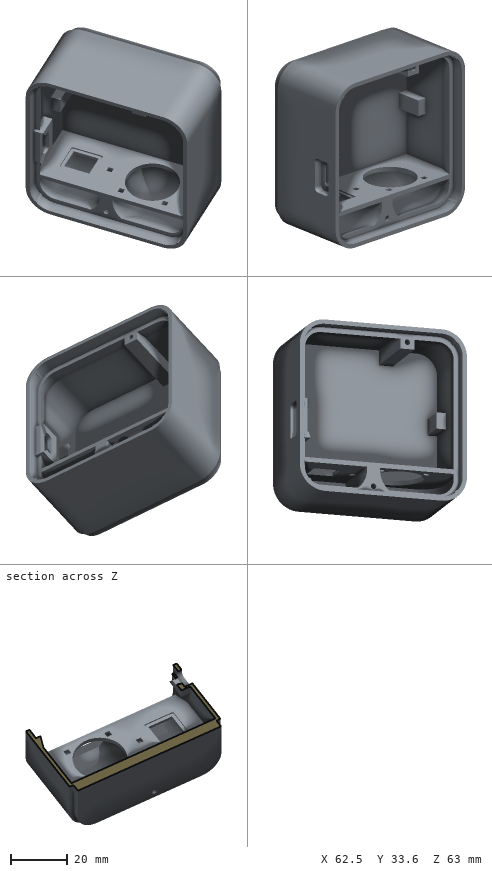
import cadquery as cq
import math

WIDTH = 62.5
DEPTH = 33.65
HEIGHT = 63.0
CORNER_RADIUS = 9.45
WALL = 1.6

LIP_LENGTH = 3.15
LIP_INSET = 1.6
MOUTH_DEPTH = 4.6
LEDGE_WIDTH = 1.9
LEDGE_TAPER_LENGTH = 5.4
BACK_THICKNESS = 4.4

FRONT_Y = -DEPTH / 2
LEDGE_Y = FRONT_Y + MOUTH_DEPTH
BACK_INNER_Y = DEPTH / 2 - BACK_THICKNESS
WALL_X = WIDTH / 2 - WALL
FLOOR_Z = -HEIGHT / 2 + WALL
CEILING_Z = HEIGHT / 2 - WALL

GRIP_RIB_WIDTH = 1.0
GRIP_RIB_HEIGHT = 0.25

SHELF_TOP = -18.35
SHELF_THICKNESS = 1.7
SHELF_BOTTOM = SHELF_TOP - SHELF_THICKNESS

POCKET_RADIUS = 8.8
COLUMN_X = -2.15
COLUMN_WIDTH = 4.9

ROUND_OPENING_DIAMETER = 19.5
ROUND_OPENING_X = 10.5
ROUND_OPENING_Y = 0.0
TIE_HOLE_SIZE = 2.0
TIE_HOLE_SPACING = 16.9
TIE_HOLE_Y = -8.45
SIDE_TIE_HOLE_X = -5.9
WINDOW_X = -16.95
WINDOW_LENGTH = 12.2
WINDOW_WIDTH = 11.1
WINDOW_RADIUS = 0.6
WINDOW_RIM = 1.25
WINDOW_REBATE = 0.5

SCREW_DIAMETER = 2.0
LOWER_SCREW_Z = -27.0

TAB_WIDTH = 5.3
TAB_BOTTOM = 24.45
TAB_SCREW_Z = 26.95

BAR_INNER_X = 26.1
BAR_BOTTOM = 0.1
BAR_HEIGHT = 6.0
BAR_FRONT_Y = 2.2

PORT_Y = -9.6
PORT_Z = -4.2
BOSS_HEIGHT = 14.5
BOSS_FRONT_Y = -13.4
BOSS_DEPTH = 8.5
RECESS_DEPTH = 3.15
RECESS_HEIGHT = 12.85
RECESS_WIDTH = 7.3
RECESS_RADIUS = 1.75
SLOT_Y = -9.45
SLOT_HEIGHT = 8.8
SLOT_WIDTH = 3.3
SLOT_RADIUS = 1.25
PLATE_INNER_X = -27.2
NOTCH_BACK_GAP = 0.25
SLOT_FRONT_Y = SLOT_Y - SLOT_WIDTH / 2
NOTCH_BACK_Y = SLOT_Y + SLOT_WIDTH / 2 - NOTCH_BACK_GAP


def block(x_range, y_range, z_range):
    """Axis-aligned block between pairs of limits."""
    size = [high - low for low, high in (x_range, y_range, z_range)]
    return cq.Workplane("XY").box(*size, centered=False).translate((x_range[0], y_range[0], z_range[0]))


def rounded_prism(inset, y_start, y_end, taper=0):
    """Rounded square along Y, inset from the outer outline."""
    return (
        cq.Workplane("XZ", origin=(0, y_start, 0))
        .sketch()
        .rect(WIDTH - 2 * inset, HEIGHT - 2 * inset)
        .vertices()
        .fillet(CORNER_RADIUS - inset)
        .finalize()
        .extrude(y_start - y_end, taper=taper)
    )


def hole_along_y(x, z):
    length = 2 * DEPTH
    return cq.Workplane("XZ", origin=(x, DEPTH, z)).circle(SCREW_DIAMETER / 2).extrude(length)


def shell():
    body = rounded_prism(0, FRONT_Y, DEPTH / 2 - LIP_LENGTH)
    lip = rounded_prism(LIP_INSET, DEPTH / 2 - LIP_LENGTH, DEPTH / 2)
    return body.union(lip).cut(rounded_prism(WALL, FRONT_Y, BACK_INNER_Y))


def ledge():
    """Ring behind the mouth whose opening widens backwards to the cavity wall."""
    taper_end = LEDGE_Y + LEDGE_TAPER_LENGTH
    angle = math.degrees(math.atan2(LEDGE_WIDTH, LEDGE_TAPER_LENGTH))
    opening = rounded_prism(WALL + LEDGE_WIDTH, LEDGE_Y, taper_end, taper=-angle)
    return rounded_prism(WALL, LEDGE_Y, taper_end).cut(opening)


def grip_ribs():
    arc_radius = CORNER_RADIUS - WALL
    ribs = cq.Workplane("XY")
    for x_side in (-1, 1):
        for z_side in (-1, 1):
            corner = (x_side * (WIDTH / 2 - CORNER_RADIUS), LEDGE_Y, z_side * (HEIGHT / 2 - CORNER_RADIUS))
            rib = block(
                (arc_radius - GRIP_RIB_HEIGHT, arc_radius + WALL / 2),
                (-MOUTH_DEPTH, 0),
                (-GRIP_RIB_WIDTH / 2, GRIP_RIB_WIDTH / 2),
            )
            angle = -math.degrees(math.atan2(z_side, x_side))
            ribs = ribs.union(rib.rotate((0, 0, 0), (0, 1, 0), angle).translate(corner))
    return ribs


def pocket(column_side_x, side):
    """Pocket from a column face to the side wall, rounded at the floor, back and outer corner."""
    outer_x = side * WALL_X
    x_range = sorted((column_side_x, outer_x))
    top = SHELF_BOTTOM + 2 * POCKET_RADIUS
    y_range = (LEDGE_Y, BACK_INNER_Y)
    outer_side, column_side = (">X", "<X") if side > 0 else ("<X", ">X")
    full = block(x_range, y_range, (FLOOR_Z, top))
    rounded_corner = full.edges(f"<Z and {outer_side}").fillet(CORNER_RADIUS - WALL)
    rounded_back = rounded_corner.faces(">Y").edges("%CIRCLE").fillet(POCKET_RADIUS)
    flared = full.edges(f"<Z and {column_side}").fillet(POCKET_RADIUS)
    return rounded_back.intersect(flared)


def lower_fill():
    envelope = rounded_prism(WALL, LEDGE_Y, BACK_INNER_Y)
    slab = block((-WALL_X, WALL_X), (LEDGE_Y, BACK_INNER_Y), (FLOOR_Z, SHELF_TOP))
    below_shelf = block((-WALL_X, WALL_X), (LEDGE_Y, BACK_INNER_Y), (FLOOR_Z, SHELF_BOTTOM))
    fill = slab.intersect(envelope)
    for side in (-1, 1):
        fill = fill.cut(pocket(COLUMN_X + side * COLUMN_WIDTH / 2, side).intersect(below_shelf))
    return fill


def shelf_openings():
    level = cq.Workplane("XY", origin=(0, 0, SHELF_BOTTOM))
    openings = (
        level.center(ROUND_OPENING_X, ROUND_OPENING_Y)
        .circle(ROUND_OPENING_DIAMETER / 2)
        .extrude(SHELF_THICKNESS)
    )
    tie_holes = [
        (SIDE_TIE_HOLE_X, ROUND_OPENING_Y),
        (ROUND_OPENING_X - TIE_HOLE_SPACING / 2, TIE_HOLE_Y),
        (ROUND_OPENING_X + TIE_HOLE_SPACING / 2, TIE_HOLE_Y),
    ]
    openings = openings.union(
        level.pushPoints(tie_holes).rect(TIE_HOLE_SIZE, TIE_HOLE_SIZE).extrude(SHELF_THICKNESS)
    )
    window = level.center(WINDOW_X, ROUND_OPENING_Y)
    through = window.rect(WINDOW_LENGTH - 2 * WINDOW_RIM, WINDOW_WIDTH - 2 * WINDOW_RIM).extrude(SHELF_THICKNESS)
    rebate = (
        window.workplane(offset=SHELF_THICKNESS - WINDOW_REBATE)
        .rect(WINDOW_LENGTH, WINDOW_WIDTH)
        .extrude(WINDOW_REBATE)
        .edges("|Z")
        .fillet(WINDOW_RADIUS)
    )
    return openings.union(through).union(rebate)


def screw_tab():
    half = TAB_WIDTH / 2
    return block(
        (ROUND_OPENING_X - half, ROUND_OPENING_X + half),
        (LEDGE_Y, BACK_INNER_Y),
        (TAB_BOTTOM, CEILING_Z),
    )


def side_bar(side):
    x_range = sorted((side * BAR_INNER_X, side * WALL_X))
    return block(x_range, (BAR_FRONT_Y, BACK_INNER_Y), (BAR_BOTTOM, BAR_BOTTOM + BAR_HEIGHT))


def port_boss():
    """Block inside the left wall, notched by a flared opening towards the front."""
    z_low = PORT_Z - BOSS_HEIGHT / 2
    z_high = PORT_Z + BOSS_HEIGHT / 2
    boss = block((-WALL_X, -BAR_INNER_X), (BOSS_FRONT_Y, BOSS_FRONT_Y + BOSS_DEPTH), (z_low, z_high))
    half_slot = SLOT_HEIGHT / 2
    half_flare = BOSS_HEIGHT / 2
    notch = (
        cq.Workplane("YZ", origin=(PLATE_INNER_X, 0, PORT_Z))
        .moveTo(BOSS_FRONT_Y, -half_flare)
        .lineTo(SLOT_FRONT_Y, -half_slot)
        .lineTo(NOTCH_BACK_Y - SLOT_RADIUS, -half_slot)
        .radiusArc((NOTCH_BACK_Y, -half_slot + SLOT_RADIUS), -SLOT_RADIUS)
        .lineTo(NOTCH_BACK_Y, half_slot - SLOT_RADIUS)
        .radiusArc((NOTCH_BACK_Y - SLOT_RADIUS, half_slot), -SLOT_RADIUS)
        .lineTo(SLOT_FRONT_Y, half_slot)
        .lineTo(BOSS_FRONT_Y, half_flare)
        .close()
        .extrude(-BAR_INNER_X - PLATE_INNER_X)
    )
    return boss.cut(notch)


def port_prism(y, height, width, radius, depth):
    """Rounded rectangle cut inwards from the left face."""
    outside = cq.Workplane("YZ", origin=(-WIDTH / 2, y, PORT_Z))
    return outside.rect(width, height).extrude(depth).edges("|X").fillet(radius)


def port_opening():
    recess = port_prism(PORT_Y, RECESS_HEIGHT, RECESS_WIDTH, RECESS_RADIUS, RECESS_DEPTH)
    slot = port_prism(SLOT_Y, SLOT_HEIGHT, SLOT_WIDTH, SLOT_RADIUS, WIDTH / 2 + PLATE_INNER_X)
    return recess.union(slot)


result = shell().union(ledge()).union(lower_fill()).union(grip_ribs()).union(screw_tab())
for side in (-1, 1):
    result = result.union(side_bar(side))
result = result.union(port_boss()).cut(port_opening()).cut(shelf_openings())
result = result.cut(hole_along_y(COLUMN_X, LOWER_SCREW_Z)).cut(hole_along_y(ROUND_OPENING_X, TAB_SCREW_Z))